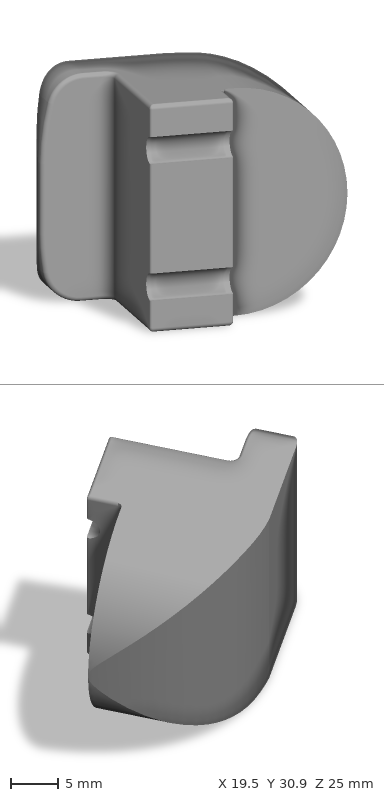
import cadquery as cq

depth = 19.53
length = 30.85
height = 25.0

hood_back_x = 15.55
toe_back_x = 5.52
stem_front_y = 7.85
stem_back_y = 17.05
outer_face_end_y = 15.05
hood_mid_x = 5.68
hood_mid_y = 26.35
toe_size = 4.5
inner_corner_radius = 1.0
stem_back_corner_radius = 0.5

hood_radius = height / 2
hood_center_y = length - hood_radius
toe_corner_top_y = 4.7
toe_top_y = 0.9
toe_top_z = 22.05
toe_flat_top_z = 15.42
toe_flat_bottom_z = 7.55
toe_bottom_y = 0.37
toe_bottom_z = 3.4

edge_radius = 0.5
stem_side_edge_radius = 0.25
notch_diameter = 3.0
notch_spacing = 15.0

reach = 0.03


def plan_body():
    """Outline in XY, extruded over the full height."""
    body = (
        cq.Workplane("XY")
        .moveTo(toe_back_x, 0)
        .lineTo(toe_size, 0)
        .tangentArcPoint((0, toe_size), relative=False)
        .lineTo(0, outer_face_end_y)
        .threePointArc((hood_mid_x, hood_mid_y), (hood_back_x, length))
        .lineTo(hood_back_x, stem_back_y)
        .lineTo(depth, stem_back_y)
        .lineTo(depth, stem_front_y)
        .lineTo(toe_back_x, stem_front_y)
        .close()
        .extrude(height)
    )
    body = body.edges(vertical_edge(toe_back_x, stem_front_y)).fillet(inner_corner_radius)
    return body.edges(vertical_edge(hood_back_x, stem_back_y)).fillet(stem_back_corner_radius)


def vertical_edge(x, y):
    """Selector for the full-height edge at a plan position."""
    return cq.selectors.BoxSelector(
        (x - reach, y - reach, 0), (x + reach, y + reach, height)
    )


def face_envelope():
    """Outline in YZ: semicircular hood end and softly bowed toe end."""
    return (
        cq.Workplane("YZ")
        .moveTo(toe_size, 0)
        .lineTo(hood_center_y, 0)
        .threePointArc((length, hood_radius), (hood_center_y, height))
        .lineTo(toe_corner_top_y, height)
        .tangentArcPoint((toe_top_y, toe_top_z), relative=False)
        .tangentArcPoint((0, toe_flat_top_z), relative=False)
        .lineTo(0, toe_flat_bottom_z)
        .tangentArcPoint((toe_bottom_y, toe_bottom_z), relative=False)
        .tangentArcPoint((toe_size, 0), relative=False)
        .close()
        .extrude(depth)
    )


def round_rims(body):
    """Round the joined back rim of the toe and front rims of the stem."""
    toe_rim = cq.selectors.BoxSelector(
        (toe_back_x - reach, -reach, -reach),
        (toe_back_x + reach, stem_front_y - inner_corner_radius, height + reach),
    )
    return body.edges(toe_rim).fillet(edge_radius)


def round_stem_back(body):
    """Round the stem's top and bottom back edges, stopping at the hood corner."""
    start_x = hood_back_x + stem_back_corner_radius
    run = depth - start_x
    strip_width = 2 * edge_radius
    strip = (
        cq.Workplane("XY")
        .box(run, strip_width, height, centered=False)
        .translate((start_x, stem_back_y - strip_width, 0))
    )
    rounded_strip = strip.edges(">Y and |X").fillet(edge_radius)
    return body.cut(strip.cut(rounded_strip))


def round_stem_end(body):
    """Round the stem end top and bottom, then soften its upright edges."""
    end_envelope = (
        cq.Workplane("XY")
        .box(depth, length, height, centered=False)
        .edges(">X and |Y")
        .fillet(edge_radius)
    )
    body = body.intersect(end_envelope)
    for y in (stem_front_y, stem_back_y):
        body = body.edges("|Z").edges(vertical_edge(depth, y)).fillet(stem_side_edge_radius)
    return body


def cut_notches(body):
    """Half-round notches through the stem end, along Y."""
    for side in (-1, 1):
        notch = (
            cq.Workplane("XZ")
            .center(depth, height / 2 + side * notch_spacing / 2)
            .circle(notch_diameter / 2)
            .extrude(-length)
        )
        body = body.cut(notch)
    return body


body = plan_body().intersect(face_envelope())
body = round_rims(body)
body = round_stem_back(body)
body = round_stem_end(body)
result = cut_notches(body)